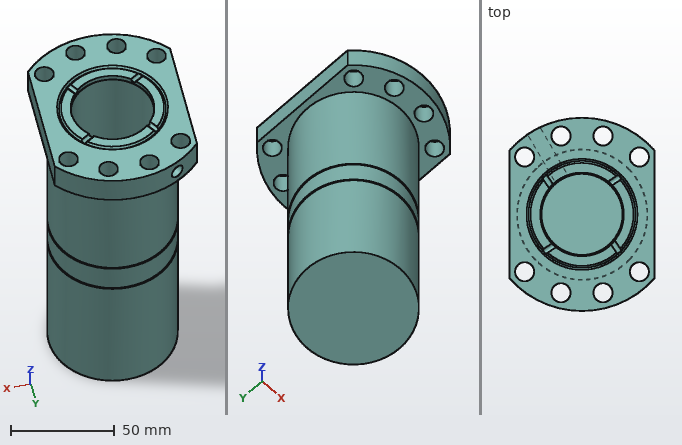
import cadquery as cq
import math

total_length = 165.0
body_diameter = 63.0

flange_diameter = 93.0
flange_width = 70.0
flange_thickness = 14.0

bolt_hole_diameter = 9.0
bolt_circle_diameter = 78.0
bolt_angles = [45, 75, 105, 135, 225, 255, 285, 315]

oil_port_diameter = 7.0
oil_port_angle = 120

bore_diameter = 40.0
bore_floor = flange_thickness
mouth_diameter = 40.3
mouth_depth = 2.6
floor_bevel = 0.5

ring_outer_diameter = 53.5
ring_valley_diameter = 51.5
ring_inner_diameter = 49.5
ring_depth = (ring_outer_diameter - ring_valley_diameter) / 2

slot_diameter = 2.6
slot_count = 4
slot_first_angle = 46
slot_swing = -12

joint_heights = [68.1, 83.0]
joint_groove_width = 0.8
joint_groove_depth = 0.3


def revolve_triangle(points):
    """Ring swept around Z from a triangle of (radius, height) points."""
    return cq.Workplane("XZ").polyline(points).close().revolve(360, (0, 0, 0), (0, 1, 0))


def make_body():
    """Cylinder with the flatted flange at its top end."""
    body = cq.Workplane("XY").circle(body_diameter / 2).extrude(total_length)
    disc = cq.Workplane("XY").circle(flange_diameter / 2).extrude(flange_thickness)
    slab = cq.Workplane("XY").rect(flange_width, flange_diameter).extrude(flange_thickness)
    flange = disc.intersect(slab).translate((0, 0, total_length - flange_thickness))
    return body.union(flange)


def make_bolt_holes():
    """Plain holes through the flange, all on one pitch circle."""
    radius = bolt_circle_diameter / 2
    centers = [
        (radius * math.cos(math.radians(angle)), radius * math.sin(math.radians(angle)))
        for angle in bolt_angles
    ]
    return (
        cq.Workplane("XY", origin=(0, 0, total_length))
        .pushPoints(centers)
        .circle(bolt_hole_diameter / 2)
        .extrude(-flange_thickness)
    )


def make_oil_port():
    """Hole drilled from the rim to the middle of the bore, at mid flange thickness."""
    rim_radius = flange_diameter / 2
    return (
        cq.Workplane("YZ", origin=(rim_radius, 0, total_length - flange_thickness / 2))
        .circle(oil_port_diameter / 2)
        .extrude(-rim_radius)
        .rotate((0, 0, 0), (0, 0, 1), oil_port_angle)
    )


def make_bore():
    """Blind bore opening at the flange end."""
    bore = (
        cq.Workplane("XY", origin=(0, 0, bore_floor))
        .circle(bore_diameter / 2)
        .extrude(total_length - bore_floor)
    )
    mouth = (
        cq.Workplane("XY", origin=(0, 0, total_length))
        .circle(mouth_diameter / 2)
        .extrude(-mouth_depth)
    )
    floor_edge = revolve_triangle(
        [
            (bore_diameter / 2, bore_floor),
            (bore_diameter / 2, bore_floor - floor_bevel),
            (bore_diameter / 2 - floor_bevel, bore_floor),
        ]
    )
    return bore.union(mouth).union(floor_edge)


def make_mouth_ring():
    """V groove cut into the top face."""
    return revolve_triangle(
        [
            (ring_inner_diameter / 2, total_length),
            (ring_valley_diameter / 2, total_length - ring_depth),
            (ring_outer_diameter / 2, total_length),
        ]
    )


def make_joint_groove(height):
    """V groove around the body, centred at the given height."""
    body_radius = body_diameter / 2
    return revolve_triangle(
        [
            (body_radius, height - joint_groove_width / 2),
            (body_radius - joint_groove_depth, height),
            (body_radius, height + joint_groove_width / 2),
        ]
    )


def make_slot(angle):
    """Round-bottomed channel open at the top face, reaching from the bore into the V groove."""
    radius = slot_diameter / 2
    inner = bore_diameter / 2 - slot_diameter
    outer = ring_valley_diameter / 2
    middle = (mouth_diameter + ring_valley_diameter) / 4
    return (
        cq.Workplane("YZ", origin=(inner - middle, 0, total_length))
        .moveTo(radius, 0)
        .lineTo(radius, radius)
        .lineTo(-radius, radius)
        .lineTo(-radius, 0)
        .threePointArc((0, -radius), (radius, 0))
        .close()
        .extrude(outer - inner)
        .rotate((0, 0, 0), (0, 0, 1), slot_swing)
        .translate((middle, 0, 0))
        .rotate((0, 0, 0), (0, 0, 1), angle)
    )


result = make_body()
result = result.cut(make_bolt_holes())
result = result.cut(make_bore())
result = result.cut(make_oil_port())
result = result.cut(make_mouth_ring())

for joint_height in joint_heights:
    result = result.cut(make_joint_groove(joint_height))

for index in range(slot_count):
    result = result.cut(make_slot(slot_first_angle + index * 360 / slot_count))